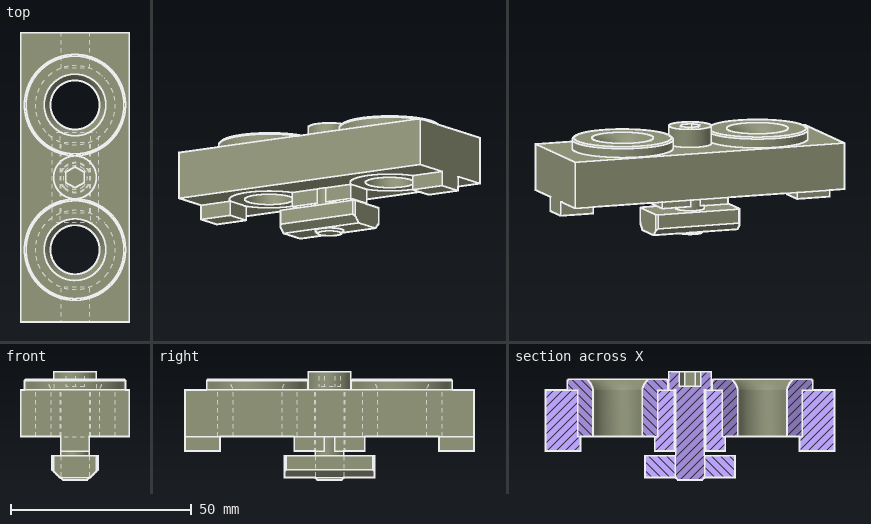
import cadquery as cq
import math

plate_width = 30.0
plate_length = 80.0
plate_height = 13.0
clearance_diameter = 8.5

foot_width = 8.0
foot_height = 4.0
end_foot_length = 9.8
middle_foot_length = 19.5

bushing_spacing = 40.0
bushing_bore = 13.5
shank_diameter = 22.0
flange_diameter = 28.0
flange_height = 3.0
flange_chamfer = 0.5
mouth_diameter = 17.0
mouth_arc_radius = 5.0

nut_width = 12.8
nut_length = 25.0
nut_height = 6.1
nut_gap = 1.2
nut_bevel_width = 2.2
nut_bevel_height = 2.2
nut_corner_chamfer = 0.6

screw_diameter = 8.0
screw_tip_diameter = 6.6
screw_protrusion = 0.7
head_diameter = 11.8
head_height = 5.0
hex_across_flats = 5.0
hex_depth = 4.0

foot_bottom = -plate_height - foot_height
nut_top = foot_bottom - nut_gap
nut_bottom = nut_top - nut_height
screw_bottom = nut_bottom - screw_protrusion
bushing_centers = [(0, -bushing_spacing / 2), (0, bushing_spacing / 2)]


def box_below(width, length, height, top, y=0.0):
    """Box centred on X = 0 at the given Y, hanging down from the given level."""
    return cq.Workplane("XY").box(width, length, height, centered=(True, True, False)).translate(
        (0, y, top - height)
    )


def cylinder(diameter, bottom, top):
    """Cylinder on the Z axis between two levels."""
    return cq.Workplane("XY").workplane(offset=bottom).circle(diameter / 2).extrude(top - bottom)


def make_plate():
    plate = box_below(plate_width, plate_length, plate_height, 0)
    end_foot_y = (plate_length - end_foot_length) / 2
    feet = [
        (-end_foot_y, end_foot_length),
        (0, middle_foot_length),
        (end_foot_y, end_foot_length),
    ]
    for y, length in feet:
        plate = plate.union(box_below(foot_width, length, foot_height, -plate_height, y))
    for x, y in bushing_centers:
        plate = plate.cut(cylinder(shank_diameter, -plate_height, 0).translate((x, y, 0)))
    return plate.cut(cylinder(clearance_diameter, foot_bottom, 0))


def make_bushing(center):
    bore_radius = bushing_bore / 2
    mouth_radius = mouth_diameter / 2
    shank_radius = shank_diameter / 2
    flange_radius = flange_diameter / 2
    bushing = (
        cq.Workplane("XZ")
        .moveTo(bore_radius, -plate_height)
        .lineTo(bore_radius, 0)
        .radiusArc((mouth_radius, flange_height), mouth_arc_radius)
        .lineTo(flange_radius - flange_chamfer, flange_height)
        .lineTo(flange_radius, flange_height - flange_chamfer)
        .lineTo(flange_radius, 0)
        .lineTo(shank_radius, 0)
        .lineTo(shank_radius, -plate_height)
        .close()
        .revolve(360, (0, 0, 0), (0, 1, 0))
    )
    return bushing.translate((*center, 0))


def make_nut():
    nut = box_below(nut_width, nut_length, nut_height, nut_top)
    nut = nut.edges("|Z").chamfer(nut_corner_chamfer)
    half_width = nut_width / 2
    bevel_top = nut_bottom + nut_bevel_height
    section = (
        cq.Workplane("XZ")
        .moveTo(-half_width, nut_top)
        .lineTo(half_width, nut_top)
        .lineTo(half_width, bevel_top)
        .lineTo(half_width - nut_bevel_width, nut_bottom)
        .lineTo(nut_bevel_width - half_width, nut_bottom)
        .lineTo(-half_width, bevel_top)
        .close()
        .extrude(nut_length / 2, both=True)
    )
    return nut.intersect(section).cut(cylinder(screw_diameter, nut_bottom, nut_top))


def make_screw():
    tip_chamfer = (screw_diameter - screw_tip_diameter) / 2
    shank = cylinder(screw_diameter, screw_bottom, 0).faces("<Z").edges().chamfer(tip_chamfer)
    screw = shank.union(cylinder(head_diameter, 0, head_height))
    across_corners = hex_across_flats / math.cos(math.pi / 6)
    socket = (
        cq.Workplane("XY")
        .workplane(offset=head_height - hex_depth)
        .transformed(rotate=(0, 0, 90))
        .polygon(6, across_corners)
        .extrude(hex_depth)
    )
    return screw.cut(socket)


plate = make_plate()
bushings = [make_bushing(center) for center in bushing_centers]
nut = make_nut()
screw = make_screw()

result = cq.Compound.makeCompound(
    [plate.val(), *[bushing.val() for bushing in bushings], nut.val(), screw.val()]
)